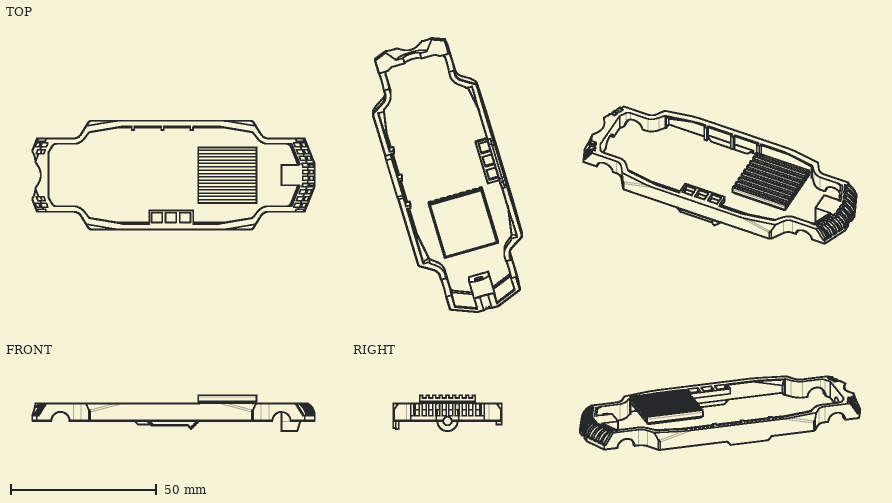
import cadquery as cq
import math

frame_height = 6.0
half_length = 48.5
half_width = 37.4 / 2
neck_half_width = 12.6
neck_inner_half_width = 10.7
wall = 2.4
side_mid_x = -0.9

shoulder_x = 28.0
shoulder_slope = 0.62
bend_radius = 3.1
shoulder_chamfer = 0.4
foot_chamfer = 0.24

bay_x = 18.3
inner_shoulder = (28.0, 14.7)
inner_bend_top = (29.5, 12.8)
inner_bend_mid = (31.05, 11.4)
inner_bend_end_x = 32.8

left_corner_x = -46.9
left_slope = 0.39
left_inner_x = -42.9
left_inner_corner = (-41.1, 7.8)
flare_floor_x = -44.8
flare_inner_radius = 5.4
flare_outer_radius = 8.3
axle_hole_radius = 3.0

right_corner_x = 45.0
nose_half_width = 3.8
right_inner_corner_x = 39.9
opening_corner_radius = 1.5
roof_thickness = 0.3
right_slope = (half_length - right_corner_x) / (neck_half_width - nose_half_width)

tread_base_z = 1.7
tread_inset = 2.4
right_bulge = (0.7, 4.3)
groove_base_inset = 0.5
groove_inset = 4.1
groove_step_z = 3.8
shallow_base_inset = 0.5
shallow_inset = 3.0
edge_step_width = 1.0
groove_width = 1.4
groove_pitch = 2.3
first_groove_y = 1.1
right_groove_count = 5
left_groove = 4
left_notch = 3
left_notch_z = 4.8
cavity_base_inset = 1.2
cavity_inset = 4.9

arch_x = 37.9
arch_radius = 3.1
facet = (9.7, 1.8, 2.5)
facet_border = (11.2, 0.9, 2.9)
pocket_outer_y = 16.8
pocket_end_x = 27.7

rib_xs = (-13.9, -3.8, 6.2)
rib_width = 1.0
rib_tip_y = 15.4

cage_x_min = -8.3
cage_x_max = 6.8
cage_inner_y = -12.1
cage_height = 1.8
cage_bar = 0.9
window_centers = (-5.7, -0.9, 4.0)
window_length = 3.6

lip_inner_y = 16.7
lip_step_y = 17.8

block_x = 37.1
bearing_radius = 3.5
bearing_end_x = 43.6
bearing_end_taper = 1.1
bearing_hole_radius = 1.5

grille_x_min = 8.4
grille_length = 20.1
grille_half_width = 9.6
grille_foot_inset = 0.5
grille_foot_height = 0.5
grille_top_z = 8.9
grille_shoulder_z = 8.2
grille_rim_lean = 0.2
grille_groove_depth = 1.0
ridge_count = 9
ridge_width = 1.1

reach = 145.5


def prism(points, z_min, z_max):
    return cq.Workplane("XY", origin=(0, 0, z_min)).polyline(points).close().extrude(z_max - z_min)


def box(x_min, x_max, y_min, y_max, z_min, z_max):
    size = (x_max - x_min, y_max - y_min, z_max - z_min)
    return cq.Workplane("XY").box(*size, centered=False).translate((x_min, y_min, z_min))


def side_prism(points, y_min, y_max):
    """Extrude an (x, z) outline from y_min to y_max."""
    return cq.Workplane("XZ", origin=(0, y_max, 0)).polyline(points).close().extrude(y_max - y_min)


def with_mirror_in_y(points):
    """Continue an (x, y) half outline with its mirror image across the X axis."""
    return points + [(x, -y) for x, y in reversed(points)]


def near(x, y):
    """Select edges whose middle lies within one unit of (x, y), at any height."""
    return cq.selectors.BoxSelector((x - 1, y - 1, -reach), (x + 1, y + 1, reach))


def neck_bend_x():
    """Distance from side_mid_x where the shoulder flank would meet the neck line."""
    return shoulder_x + shoulder_slope * (half_width - neck_half_width)


def outer_body():
    bend_x = neck_bend_x()
    upper = [
        (left_corner_x, neck_half_width),
        (side_mid_x - bend_x, neck_half_width),
        (side_mid_x - shoulder_x, half_width),
        (side_mid_x + shoulder_x, half_width),
        (side_mid_x + bend_x, neck_half_width),
        (right_corner_x, neck_half_width),
        (half_length, nose_half_width),
    ]
    left_point = (left_corner_x - left_slope * neck_half_width, 0)
    body = prism(with_mirror_in_y(upper) + [left_point], 0, frame_height)
    for x in (side_mid_x - bend_x, side_mid_x + bend_x):
        for y in (-neck_half_width, neck_half_width):
            body = body.edges(near(x, y)).fillet(bend_radius)
    for x in (side_mid_x - shoulder_x, side_mid_x + shoulder_x):
        for y in (-half_width, half_width):
            body = body.edges(near(x, y)).chamfer(shoulder_chamfer)
    tip_limit = box(-half_length, half_length, -reach, reach, -1, reach)
    return body.intersect(tip_limit)


def inner_opening():
    def at(point, side):
        return (side_mid_x + side * point[0], point[1])

    bay_end = (bay_x, half_width - wall)
    bend_end = (inner_bend_end_x, neck_inner_half_width)
    right_inner_x = right_inner_corner_x + right_slope * (neck_inner_half_width - bearing_radius)
    sketch = (
        cq.Workplane("XY", origin=(0, 0, -1))
        .moveTo(left_inner_x, 0)
        .lineTo(left_inner_x, left_inner_corner[1])
        .lineTo(left_inner_corner[0], neck_inner_half_width)
        .lineTo(*at(bend_end, -1))
        .threePointArc(at(inner_bend_mid, -1), at(inner_bend_top, -1))
        .lineTo(*at(inner_shoulder, -1))
        .lineTo(*at(bay_end, -1))
        .lineTo(*at(bay_end, 1))
        .lineTo(*at(inner_shoulder, 1))
        .lineTo(*at(inner_bend_top, 1))
        .threePointArc(at(inner_bend_mid, 1), at(bend_end, 1))
        .lineTo(right_inner_corner_x, neck_inner_half_width)
        .lineTo(right_inner_x, bearing_radius)
        .lineTo(right_inner_x, 0)
        .close()
    )
    half = sketch.extrude(frame_height + 1.9)
    for x in (left_inner_corner[0], right_inner_corner_x):
        half = half.edges(near(x, neck_inner_half_width)).fillet(opening_corner_radius)
    return half.union(half.mirror("XZ"))


def slope_prism(corner, direction, base_inset, top_inset, top_z, bulge=None):
    """Solid lying inward of an outline edge; its outer face leans in above tread_base_z.

    The edge passes through corner; direction points along it with the inside on its left.
    """
    dx, dy = direction
    plane = cq.Plane(origin=(corner[0], corner[1], 0), xDir=(-dy, dx, 0), normal=(dx, dy, 0))
    outline = cq.Workplane(plane).moveTo(base_inset, -1).lineTo(base_inset, tread_base_z)
    if bulge:
        outline = outline.threePointArc((bulge[0], bulge[1]), (top_inset, top_z))
    else:
        outline = outline.lineTo(top_inset, top_z)
    outline = outline.lineTo(reach, top_z).lineTo(reach, -1).close()
    return outline.extrude(reach, both=True)


def right_envelope(base_inset, top_inset, top_z, bulge=None):
    """Outline of the right end, leaning in above tread_base_z."""
    profile = (base_inset, top_inset, top_z, bulge)
    length = math.hypot(right_slope, 1)
    dx, dy = right_slope / length, 1 / length
    upper = slope_prism((right_corner_x, neck_half_width), (-dx, dy), *profile)
    lower = slope_prism((right_corner_x, -neck_half_width), (dx, dy), *profile)
    nose = slope_prism((half_length, 0), (0, 1), *profile)
    return upper.intersect(lower).intersect(nose)


def left_envelope(base_inset, top_inset, top_z):
    """Outline of the left end, leaning in above tread_base_z."""
    profile = (base_inset, top_inset, top_z)
    length = math.hypot(left_slope, 1)
    dx, dy = left_slope / length, 1 / length
    upper = slope_prism((left_corner_x, neck_half_width), (-dx, -dy), *profile)
    lower = slope_prism((left_corner_x, -neck_half_width), (dx, -dy), *profile)
    return upper.intersect(lower)


def tread_slots(y_center, width, z_min, z_max):
    """A pair of slots at +y and -y across the whole length of the frame."""
    slots = cq.Workplane("XY")
    for side in (-1, 1):
        y = side * y_center
        slots = slots.union(box(-half_length, half_length, y - width / 2, y + width / 2, z_min, z_max))
    return slots


def groove_y(index):
    return first_groove_y + index * groove_pitch


def cut_tread(body, envelope, groove_indexes):
    """Cut stepped grooves and the outer edge steps into the tread of one end."""
    deep = envelope(groove_base_inset, groove_inset, frame_height)
    shallow = envelope(shallow_base_inset, shallow_inset, frame_height)
    for index in groove_indexes:
        y = groove_y(index)
        body = body.cut(tread_slots(y, groove_width, groove_step_z, frame_height).cut(deep))
        body = body.cut(tread_slots(y, groove_width, tread_base_z, groove_step_z).cut(shallow))
    edge_y = neck_half_width - edge_step_width / 2
    return body.cut(tread_slots(edge_y, edge_step_width, tread_base_z, frame_height).cut(shallow))


def x_cylinder(radius, x_min, x_max):
    return cq.Workplane("YZ", origin=(x_min, 0, 0)).circle(radius).extrude(x_max - x_min)


def cut_left_tread(body):
    body = cut_tread(body, left_envelope, (left_groove,))
    notch = tread_slots(groove_y(left_notch), groove_width, left_notch_z, frame_height)
    return body.cut(notch.cut(left_envelope(groove_base_inset, groove_inset, frame_height)))


def shape_left_end(body):
    body = body.intersect(left_envelope(0, tread_inset, frame_height))
    body = cut_left_tread(body)
    flare = (
        cq.Workplane("YZ", origin=(-half_length, 0, 0))
        .circle(flare_outer_radius)
        .workplane(offset=flare_floor_x + half_length)
        .circle(flare_inner_radius)
        .loft()
    )
    return body.cut(flare).cut(x_cylinder(axle_hole_radius, -half_length, left_inner_x))


def shape_right_end(body):
    body = body.intersect(right_envelope(0, tread_inset, frame_height, right_bulge))
    body = cut_tread(body, right_envelope, range(right_groove_count))
    hollow = right_envelope(cavity_base_inset, cavity_inset, frame_height - roof_thickness)
    hollow_x = right_inner_corner_x - opening_corner_radius
    hollow = hollow.intersect(
        box(hollow_x, half_length, -neck_inner_half_width, neck_inner_half_width, -1, frame_height)
    )
    return body.cut(hollow)


def bearing_block():
    """Square-topped block with a half-round underside that carries the axle bore."""
    upper = box(block_x, half_length, -bearing_radius, bearing_radius, 0, frame_height)
    upper = upper.intersect(right_envelope(cavity_base_inset, cavity_inset, frame_height))
    side = [
        (block_x, 0),
        (bearing_end_x, 0),
        (bearing_end_x - bearing_end_taper, -bearing_radius),
        (block_x, -bearing_radius),
    ]
    lower = x_cylinder(bearing_radius, block_x, half_length)
    lower = lower.intersect(side_prism(side, -bearing_radius, bearing_radius))
    return upper.union(lower)


def wheel_arches():
    arches = cq.Workplane("XY")
    for side in (-1, 1):
        arch = cq.Workplane("XZ", origin=(side_mid_x + side * arch_x, 0, 0)).circle(arch_radius)
        arches = arches.union(arch.extrude(reach, both=True))
    return arches


def corner_facet(x_side, y_side, size):
    """Everything above the plane that bevels one wide corner down from the top."""
    run, flank_run, drop = size
    corner = cq.Vector(side_mid_x + x_side * shoulder_x, y_side * half_width, frame_height)
    along = cq.Vector(-x_side * run, 0, 0)
    flank = cq.Vector(x_side * shoulder_slope * flank_run, -y_side * flank_run, 0)
    down = cq.Vector(0, 0, -drop)
    normal = (down - along).cross(flank - along)
    if normal.z < 0:
        normal = normal * -1
    start = corner + along
    slant = down - along
    plane = cq.Plane(origin=start.toTuple(), xDir=slant.toTuple(), normal=normal.toTuple())
    return cq.Workplane(plane).rect(4 * run, 4 * run).extrude(run)


def wall_pocket(x_side, y_side):
    """Hollow under the top shelf; its ceiling runs parallel to the corner facet."""
    x_end = side_mid_x + x_side * pocket_end_x
    z_max = frame_height - roof_thickness
    y_near = neck_inner_half_width
    pocket = box(min(side_mid_x, x_end), max(side_mid_x, x_end), y_near, pocket_outer_y, -1, z_max)
    if y_side < 0:
        pocket = pocket.mirror("XZ")
    return pocket.cut(corner_facet(x_side, y_side, facet).translate((0, -y_side * wall, 0)))


def ribs():
    bodies = cq.Workplane("XY")
    for x in rib_xs:
        bodies = bodies.union(
            box(x - rib_width / 2, x + rib_width / 2, rib_tip_y, half_width - wall / 2, 0, frame_height)
        )
    return bodies


def cage():
    z_min = frame_height - cage_height
    wall_y = wall - half_width
    body = box(cage_x_min, cage_x_max, wall_y - wall / 2, cage_inner_y, z_min, frame_height)
    window_y = cage_inner_y - cage_bar
    for x in window_centers:
        x_min = x - window_length / 2
        body = body.cut(box(x_min, x_min + window_length, wall_y, window_y, z_min, frame_height))
    return body


def hanging_lips():
    plain = [(-13.4, 1.3), (-13.4, 0), (-12.1, -1.3), (1.4, -1.3), (3.9, 1.3)]
    hook = [(-9.1, 0), (-7.6, -1.6), (4.95, -1.6), (6.0, -2.8), (8.8, 0)]
    hook_outer = [(-8.2, 0), (-7.0, -1.3), (4.95, -1.3), (5.8, -2.4), (8.1, 0)]
    lips = side_prism(plain, lip_inner_y, half_width)
    lips = lips.union(side_prism(hook, -lip_step_y, -lip_inner_y))
    return lips.union(side_prism(hook_outer, -half_width, -lip_step_y))


def make_frame():
    body = outer_body().faces("<Z").chamfer(foot_chamfer).cut(inner_opening())
    body = shape_right_end(shape_left_end(body))
    body = body.cut(wheel_arches())
    for x_side in (-1, 1):
        for y_side in (-1, 1):
            body = body.cut(corner_facet(x_side, y_side, facet))
            body = body.cut(corner_facet(x_side, y_side, facet_border))
            body = body.cut(wall_pocket(x_side, y_side))
    body = body.union(bearing_block()).union(ribs()).union(cage()).union(hanging_lips())
    return body.cut(x_cylinder(bearing_hole_radius, block_x, half_length))


def make_grille():
    x_max = grille_x_min + grille_length
    inset = grille_foot_inset
    plate_z = frame_height + grille_foot_height
    foot_y = grille_half_width - inset
    body = box(grille_x_min + inset, x_max - inset, -foot_y, foot_y, frame_height, plate_z)
    rim = [
        (grille_half_width, plate_z),
        (grille_half_width, grille_shoulder_z),
        (grille_half_width - grille_rim_lean, grille_top_z),
    ]
    other_rim = [(-y, z) for y, z in reversed(rim)]
    section = cq.Workplane("YZ", origin=(grille_x_min, 0, 0)).polyline(rim + other_rim).close()
    plate = section.extrude(grille_length)
    body = body.union(plate.faces("<Z").chamfer(foot_chamfer))
    pitch = (2 * grille_half_width - ridge_width) / (ridge_count - 1)
    for index in range(ridge_count - 1):
        y_min = -grille_half_width + ridge_width + index * pitch
        y_max = y_min + pitch - ridge_width
        body = body.cut(
            box(grille_x_min, x_max, y_min, y_max, grille_top_z - grille_groove_depth, grille_top_z)
        )
    return body


frame = make_frame()
grille = make_grille()
result = cq.Compound.makeCompound([frame.val(), grille.val()])